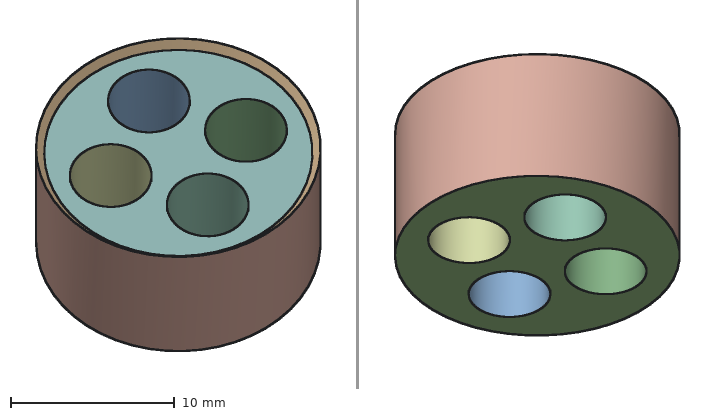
import cadquery as cq

body_diameter = 17.4
body_height = 9.0
rim_inset = 0.5
hole_diameter = 5.0
hole_offset = 4.5
hole_count = 4

body_radius = body_diameter / 2
floor_radius = body_radius - rim_inset
floor_height = body_height - rim_inset


def make_dished_body():
    """Round body with a sharp top edge sloping inward to a flat recessed floor."""
    half_profile = (
        cq.Workplane("XZ")
        .moveTo(0, 0)
        .lineTo(body_radius, 0)
        .lineTo(body_radius, body_height)
        .lineTo(floor_radius, floor_height)
        .lineTo(0, floor_height)
        .close()
    )
    return half_profile.revolve(360, (0, 0, 0), (0, 1, 0))


def make_hole_cutters():
    """Through-hole cylinders evenly spaced around the part axis."""
    return (
        cq.Workplane("XY")
        .polarArray(hole_offset, 0, 360, hole_count)
        .circle(hole_diameter / 2)
        .extrude(body_height)
    )


result = make_dished_body().cut(make_hole_cutters())